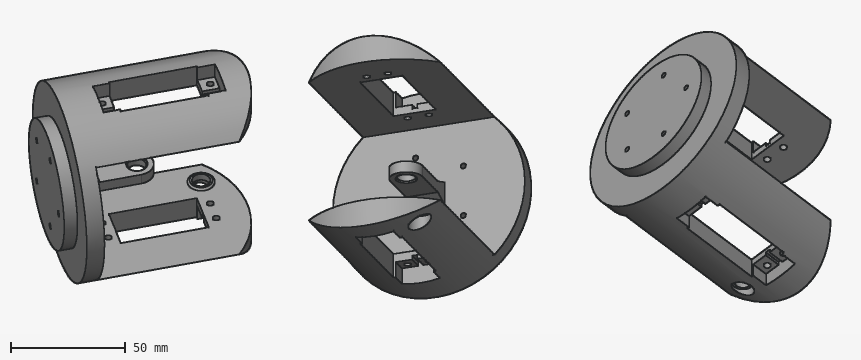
import cadquery as cq
import math

length = 91.0
body_diameter = 90.0
body_radius = body_diameter / 2
spigot_diameter = 59.0
spigot_height = 6.0
flange_thickness = 8.0
flange_back = spigot_height + flange_thickness
arm_inner_z = 32.8

screw_count = 5
screw_circle_radius = 20.0
screw_diameter = 2.5

window_width = 19.8
window_start = 30.9
window_end = 70.7
ledge_thickness = 4.0
ledge_width = 17.7
ledge_start = 23.4
ledge_end = 78.6
ledge_hole_inset = 3.2
ledge_hole_spacing = 10.0
ledge_hole_diameter = 3.1
groove_width = 2.4
groove_depth = 1.8

lug_width = 14.9
lug_thickness = 5.2
lug_center_y = 40.9
lug_bore_diameter = 8.2
lug_bore_mouth_diameter = 9.5
lug_mouth_chamfer = (lug_bore_mouth_diameter - lug_bore_diameter) / 2
lug_flare_y = 22.1
lug_root_thickness = 10.8

cable_x = -19.8
cable_y = 75.35
cable_hole_diameter = 10.0
cable_mouth_diameter = 8.0
cable_mouth_depth = 3.5
cable_boss_diameter = 12.0
cable_boss_height = 1.0
cable_boss_taper = 45


def y_cylinder(diameter, y_start, y_end):
    """Cylinder along +Y centred on the main axis."""
    plane = cq.Workplane("XZ", origin=(0, y_start, 0))
    return plane.circle(diameter / 2).extrude(y_start - y_end)


def z_cylinder(diameter, x, y, z_start, z_end):
    """Vertical cylinder at (x, y)."""
    plane = cq.Workplane("XY", origin=(x, y, z_start))
    return plane.circle(diameter / 2).extrude(z_end - z_start)


def block(width, y_start, y_end, z_start, z_end):
    """Box centred on X = 0."""
    size = (width, y_end - y_start, z_end - z_start)
    return cq.Workplane("XY").box(*size, centered=(True, False, False)).translate((0, y_start, z_start))


def make_body():
    """Flange, spigot and two arms whose tips are rounded by a vertical cylinder."""
    shell = y_cylinder(2 * body_radius, spigot_height, length)
    gap = block(2 * body_radius, flange_back, length, -arm_inner_z, arm_inner_z)
    tip_center_y = length - body_radius
    plan = block(2 * body_radius, 0, tip_center_y, -body_radius, body_radius)
    plan = plan.union(z_cylinder(2 * body_radius, 0, tip_center_y, -body_radius, body_radius))
    return shell.cut(gap).intersect(plan).union(y_cylinder(spigot_diameter, 0, spigot_height))


def make_servo_opening():
    """Cutter for the upper arm: window, recessed ledges, centre groove and screw holes."""
    ledge_z = arm_inner_z + ledge_thickness
    cutter = block(window_width, window_start, window_end, arm_inner_z, body_radius)
    cutter = cutter.union(block(ledge_width, ledge_start, ledge_end, ledge_z, body_radius))
    cutter = cutter.union(block(groove_width, ledge_start, ledge_end, ledge_z - groove_depth, ledge_z))
    for y in (ledge_start + ledge_hole_inset, ledge_end - ledge_hole_inset):
        for x in (-ledge_hole_spacing / 2, ledge_hole_spacing / 2):
            cutter = cutter.union(z_cylinder(ledge_hole_diameter, x, y, arm_inner_z, body_radius))
    return cutter


def make_lug():
    """Round-ended lug with a root that flares into the flange."""
    profile = (
        cq.Workplane("YZ", origin=(-lug_width / 2, 0, 0))
        .moveTo(flange_back, -lug_root_thickness / 2)
        .lineTo(lug_flare_y, -lug_thickness / 2)
        .lineTo(lug_center_y, -lug_thickness / 2)
        .lineTo(lug_center_y, lug_thickness / 2)
        .lineTo(lug_flare_y, lug_thickness / 2)
        .lineTo(flange_back, lug_root_thickness / 2)
        .close()
        .extrude(lug_width)
    )
    half = lug_thickness / 2
    lug = profile.union(z_cylinder(lug_width, 0, lug_center_y, -half, half))
    bore = z_cylinder(lug_bore_diameter, 0, lug_center_y, -half, half)
    for side in (-1, 1):
        mouth = cq.Solid.makeCone(
            lug_bore_mouth_diameter / 2,
            lug_bore_diameter / 2,
            lug_mouth_chamfer,
            pnt=cq.Vector(0, lug_center_y, side * half),
            dir=cq.Vector(0, 0, -side),
        )
        bore = bore.union(cq.Workplane(mouth))
    return lug.cut(bore)


result = make_body().union(make_lug())

upper_opening = make_servo_opening()
result = result.cut(upper_opening).cut(upper_opening.mirror("XY"))

for index in range(screw_count):
    angle = 2 * math.pi * index / screw_count
    position = (screw_circle_radius * math.cos(angle), 0, screw_circle_radius * math.sin(angle))
    result = result.cut(y_cylinder(screw_diameter, 0, flange_back).translate(position))

boss_top = cable_boss_height - arm_inner_z
boss = (
    cq.Workplane("XY", origin=(cable_x, cable_y, -arm_inner_z))
    .circle(cable_boss_diameter / 2)
    .extrude(cable_boss_height, taper=cable_boss_taper)
)
result = result.union(boss)
result = result.cut(z_cylinder(cable_mouth_diameter, cable_x, cable_y, -body_radius, boss_top))
result = result.cut(
    z_cylinder(cable_hole_diameter, cable_x, cable_y, -body_radius, boss_top - cable_mouth_depth)
)